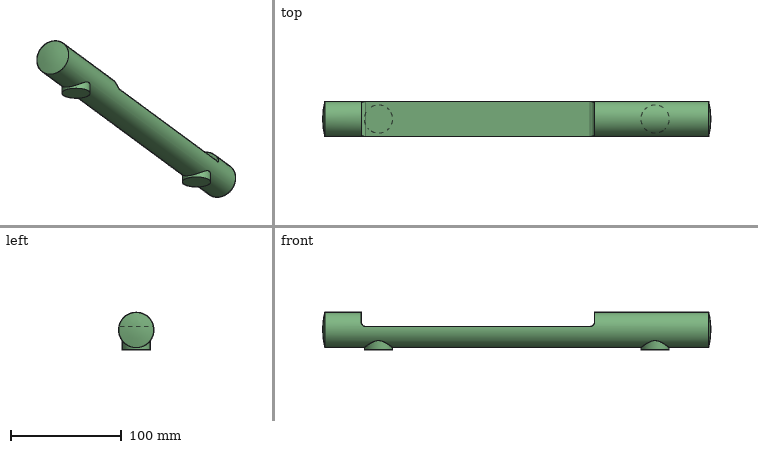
import cadquery as cq

bar_diameter = 32.0
bar_length = 347.0
dome_height = 2.0

notch_end_margin = 33.0
notch_length = 210.7
notch_floor_z = 3.2
notch_corner_radius = 4.0

foot_diameter = 25.5
foot_spacing = 250.0
foot_drop = 2.0

bar_radius = bar_diameter / 2
half_length = bar_length / 2
notch_start_x = notch_end_margin - half_length
notch_centre_x = notch_start_x + notch_length / 2
notch_cutter_height = bar_diameter
notch_cutter_width = 2 * bar_diameter
foot_height = bar_radius + foot_drop


def make_bar():
    """Round bar with shallow domed ends, revolved about the X axis."""
    sphere_radius = (bar_radius**2 + dome_height**2) / (2 * dome_height)
    mid_r = bar_radius / 2
    mid_x = half_length + dome_height - sphere_radius + (sphere_radius**2 - mid_r**2) ** 0.5
    tip_x = half_length + dome_height
    return (
        cq.Workplane("XZ")
        .moveTo(-tip_x, 0)
        .threePointArc((-mid_x, mid_r), (-half_length, bar_radius))
        .lineTo(half_length, bar_radius)
        .threePointArc((mid_x, mid_r), (tip_x, 0))
        .close()
        .revolve(360, (0, 0, 0), (1, 0, 0))
    )


def make_foot(x):
    """Vertical round foot, running from the bar axis to below the bar."""
    return cq.Workplane("XY").center(x, 0).circle(foot_diameter / 2).extrude(-foot_height)


def make_notch_cutter():
    """Block that opens the flat-floored notch, with rounded floor corners."""
    return (
        cq.Workplane("XY", origin=(notch_centre_x, 0, notch_floor_z))
        .rect(notch_length, notch_cutter_width)
        .extrude(notch_cutter_height)
        .edges("|Y and <Z")
        .fillet(notch_corner_radius)
    )


result = make_bar()
for side in (-1, 1):
    result = result.union(make_foot(side * foot_spacing / 2))
result = result.cut(make_notch_cutter())